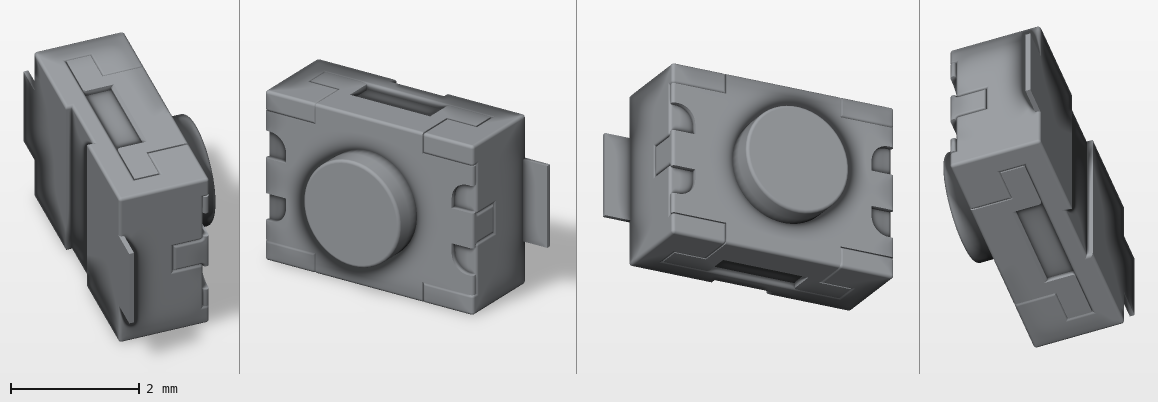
import cadquery as cq
import math

housing_x = 3.9
housing_y = 1.5
housing_z = 2.9
edge_radius = 0.05

groove_width = 0.95
groove_depth = 0.1

sheet = 0.1
sheet_end_radius = 0.0499
plate_z = 2.2
strap_x = 2.0
foot_x = 3.1
foot_bottom = 0.4
foot_top = 0.8
window_x = 1.5
window_top = 0.9
window_bevel = 0.05
tab_z = 0.5
tab_bottom = 0.9

notch_depth = 0.4
notch_inner_z = 0.3
notch_outer_z = 0.77
notch_radius = 0.3

button_diameter = 1.8
button_top = 2.0

terminal_span = 4.8
terminal_length = 0.55
terminal_z = 1.4
terminal_thickness = 0.08

edge_tolerance = 1e-4

half_x = housing_x / 2
half_z = housing_z / 2
plate_bottom = housing_y - sheet
sides = (-1, 1)


def block(x_range, y_range, z_range):
    """Box between the given pairs of coordinates."""
    x0, y0, z0 = (min(r) for r in (x_range, y_range, z_range))
    x1, y1, z1 = (max(r) for r in (x_range, y_range, z_range))
    return cq.Workplane("XY").box(x1 - x0, y1 - y0, z1 - z0, centered=False).translate((x0, y0, z0))


def centred(width):
    return (-width / 2, width / 2)


def at(low, high, place):
    """True where a coordinate range is flat and lies at the given distance from the origin."""
    return high - low < edge_tolerance and abs(abs(low) - place) < edge_tolerance


def fillet_where(body, is_wanted, radius):
    """Round the edges of the body that pass the given test."""
    edges = [edge for edge in body.edges().vals() if is_wanted(edge)]
    return body.newObject(edges).fillet(radius)


def tab(side):
    """Tab down one X face, flared by concave rounds where it meets the plate."""
    half = tab_z / 2
    round_start = plate_bottom - edge_radius
    flare = half + edge_radius
    bulge = edge_radius * (1 - math.sqrt(0.5))
    outline = (
        cq.Workplane("YZ")
        .moveTo(tab_bottom, -half)
        .lineTo(round_start, -half)
        .threePointArc((plate_bottom - bulge, -half - bulge), (plate_bottom, -flare))
        .lineTo(plate_bottom, flare)
        .threePointArc((plate_bottom - bulge, half + bulge), (round_start, half))
        .lineTo(tab_bottom, half)
        .close()
    )
    return outline.extrude(sheet).translate((half_x - sheet if side > 0 else -half_x, 0, 0))


def strap(side):
    """Strap over one Z face, ending in a wide foot."""
    face = (side * (half_z - sheet), side * half_z)
    bend = block(centred(strap_x), (plate_bottom, housing_y), (0, side * half_z))
    stem = block(centred(strap_x), (foot_bottom, housing_y), face)
    foot = block(centred(foot_x), (foot_bottom, foot_top), face)
    return bend.union(stem).union(foot)


def cover_blank():
    blank = block(centred(housing_x), (plate_bottom, housing_y), centred(plate_z))
    for side in sides:
        blank = blank.union(strap(side)).union(tab(side))
    return blank


def terminal(side):
    outer = side * terminal_span / 2
    return block((outer, outer - side * terminal_length), (0, terminal_thickness), centred(terminal_z))


def is_housing_rim(edge):
    """True for edges in the X, Z and +Y faces, leaving out the groove edges along Z."""
    box = edge.BoundingBox()
    return (
        at(box.xmin, box.xmax, half_x)
        or at(box.ymin, box.ymax, housing_y)
        or at(box.zmin, box.zmax, half_z)
    )


def housing_body():
    body = block(centred(housing_x), (0, housing_y), centred(housing_z))
    body = body.cut(block(centred(groove_width), (0, groove_depth), centred(housing_z)))
    body = body.cut(cover_blank())
    body = fillet_where(body, is_housing_rim, edge_radius)
    for side in sides:
        body = body.cut(terminal(side))
    return body


def button_body():
    return (
        cq.Workplane("XZ", origin=(0, plate_bottom, 0))
        .circle(button_diameter / 2)
        .extrude(-(button_top - plate_bottom))
        .faces(">Y")
        .edges()
        .fillet(edge_radius)
    )


def window(side):
    """Opening in the middle of a strap, reaching its lower edge, with a bevel along the top."""
    face = side * half_z
    inner = side * (half_z - sheet)
    bevel_bottom = window_top - window_bevel
    bevel_end = face - side * window_bevel
    profile = (
        cq.Workplane("YZ")
        .moveTo(foot_bottom, inner)
        .lineTo(bevel_bottom, inner)
        .lineTo(bevel_bottom, bevel_end)
        .lineTo(window_top, face)
        .lineTo(foot_bottom, face)
        .close()
    )
    return profile.extrude(window_x / 2, both=True)


def notch(x_side, z_side):
    """Notch in a plate end between tab and corner, with one round inner corner."""
    floor = half_x - notch_depth
    cutter = block((floor, half_x), (plate_bottom, housing_y), (notch_inner_z, notch_outer_z))
    cutter = cutter.edges("|Y and <X and >Z").fillet(notch_radius)
    if x_side < 0:
        cutter = cutter.mirror("YZ")
    if z_side < 0:
        cutter = cutter.mirror("XY")
    return cutter


def is_window_foot_corner(edge):
    """True for the corners where the window runs out through the lower edge of a strap."""
    box = edge.BoundingBox()
    return at(box.xmin, box.xmax, window_x / 2) and at(box.ymin, box.ymax, foot_bottom)


def is_strap_bend(edge):
    """True for the outer bend lines between the plate and the straps."""
    box = edge.BoundingBox()
    return at(box.ymin, box.ymax, housing_y) and at(box.zmin, box.zmax, half_z)


def is_sheet_end(edge):
    """True for edges in the X faces, leaving out the short ones across the plate thickness."""
    box = edge.BoundingBox()
    across_plate = box.zlen < edge_tolerance and box.ymin > plate_bottom - edge_tolerance
    return at(box.xmin, box.xmax, half_x) and not across_plate


def cover_body():
    body = cover_blank()
    for side in sides:
        body = body.cut(window(side))
        for z_side in sides:
            body = body.cut(notch(side, z_side))
    body = fillet_where(body, is_window_foot_corner, edge_radius)
    body = fillet_where(body, is_strap_bend, edge_radius)
    body = fillet_where(body, is_sheet_end, sheet_end_radius)
    return body.cut(button_body())


housing = housing_body()
cover = cover_body()
button = button_body()
terminals = [terminal(side) for side in sides]
result = cq.Compound.makeCompound(
    [housing.val(), cover.val(), button.val(), *[terminal_strip.val() for terminal_strip in terminals]]
)